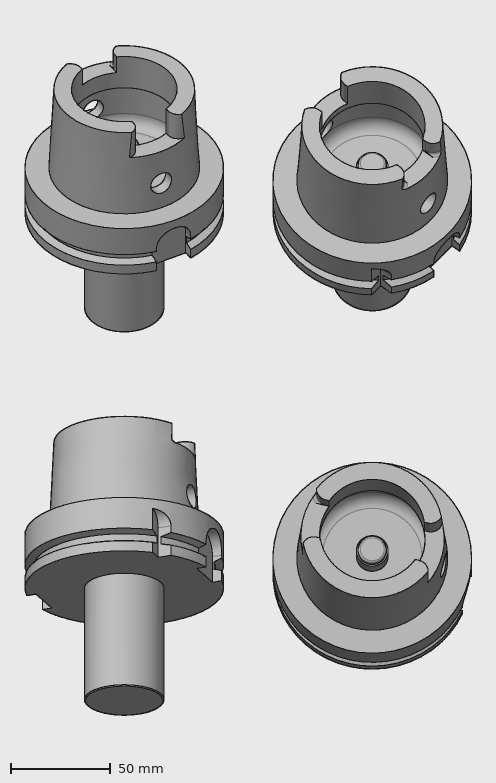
import cadquery as cq
import math

TOTAL_HEIGHT = 139.9
TAPER_LENGTH = 50.0
FLANGE_THICKNESS = 29.0
TAPER_BASE_Z = TOTAL_HEIGHT - TAPER_LENGTH
FLANGE_BOTTOM_Z = TAPER_BASE_Z - FLANGE_THICKNESS

SHANK_RADIUS = 40.0 / 2
SHANK_CHAMFER = 0.5
FLANGE_RADIUS = 99.9 / 2
TAPER_BASE_RADIUS = 37.9
TAPER_RATIO = 1 / 20
TAPER_TOP_RADIUS = TAPER_BASE_RADIUS - TAPER_LENGTH * TAPER_RATIO

GROOVE_RADIUS = 45.9
GROOVE_FLOOR_WIDTH = 3.9
GROOVE_SIDE_HEIGHT = 1.4
GROOVE_BOTTOM_Z = FLANGE_BOTTOM_Z + 5.6

BORE_RADIUS = 53.0 / 2
BORE_DEPTH = 20.0
CHAMBER_RADIUS = 63.1 / 2
CHAMBER_FLOOR_Z = 92.9
CHAMBER_FLOOR_RADIUS = 50.0 / 2
CHAMBER_FILLET = CHAMBER_RADIUS - CHAMBER_FLOOR_RADIUS

POST_RADIUS = 16.0 / 2
POST_TOP_Z = 105.2
POST_TIP_RADIUS = 7.1
POST_TIP_HEIGHT = 3.0
POST_TIP_FILLET = POST_TIP_RADIUS - 12.0 / 2

ACCESS_HOLE_RADIUS = 12.0 / 2
ACCESS_HOLE_Z = 104.9

SLOT_WIDTH = 20.0
LEFT_SLOT_DEPTH = 10.1
RIGHT_SLOT_DEPTH = 15.5
LUG_CORNER_RADIUS = 6.0
LUG_FACE_X = 32.5
LUG_WRAP_ANGLE = 50
LEFT_SLOT_FILLET = 1.7
KEYWAY_FLOOR_X = 43.9
KEYWAY_TOP_Z = TAPER_BASE_Z - 5.0

NOTCH_FLOOR_X = 31.9
NOTCH_WALL_Y = 31.3
NOTCH_RADIUS = 8.0

CLEARANCE = 7.0


def outer_body():
    groove_top = GROOVE_BOTTOM_Z + 2 * GROOVE_SIDE_HEIGHT + GROOVE_FLOOR_WIDTH
    return (
        cq.Workplane("XZ")
        .moveTo(0, 0)
        .lineTo(SHANK_RADIUS - SHANK_CHAMFER, 0)
        .lineTo(SHANK_RADIUS, SHANK_CHAMFER)
        .lineTo(SHANK_RADIUS, FLANGE_BOTTOM_Z)
        .lineTo(FLANGE_RADIUS, FLANGE_BOTTOM_Z)
        .lineTo(FLANGE_RADIUS, GROOVE_BOTTOM_Z)
        .lineTo(GROOVE_RADIUS, GROOVE_BOTTOM_Z + GROOVE_SIDE_HEIGHT)
        .lineTo(GROOVE_RADIUS, groove_top - GROOVE_SIDE_HEIGHT)
        .lineTo(FLANGE_RADIUS, groove_top)
        .lineTo(FLANGE_RADIUS, TAPER_BASE_Z)
        .lineTo(TAPER_BASE_RADIUS, TAPER_BASE_Z)
        .lineTo(TAPER_TOP_RADIUS, TOTAL_HEIGHT)
        .lineTo(0, TOTAL_HEIGHT)
        .close()
        .revolve(360, (0, 0), (0, 1))
    )


def interior():
    """Bore and wider, round-cornered chamber as one cutting solid."""
    bore_end = TOTAL_HEIGHT - BORE_DEPTH
    return (
        cq.Workplane("XZ")
        .moveTo(0, CHAMBER_FLOOR_Z)
        .lineTo(CHAMBER_FLOOR_RADIUS, CHAMBER_FLOOR_Z)
        .radiusArc((CHAMBER_RADIUS, CHAMBER_FLOOR_Z + CHAMBER_FILLET), -CHAMBER_FILLET)
        .lineTo(CHAMBER_RADIUS, bore_end)
        .lineTo(BORE_RADIUS, bore_end)
        .lineTo(BORE_RADIUS, TOTAL_HEIGHT)
        .lineTo(0, TOTAL_HEIGHT)
        .close()
        .revolve(360, (0, 0), (0, 1))
    )


def coolant_post():
    shoulder_z = POST_TOP_Z - POST_TIP_HEIGHT
    base_z = CHAMBER_FLOOR_Z - CLEARANCE
    base = cq.Workplane("XY").workplane(offset=base_z).circle(POST_RADIUS).extrude(shoulder_z - base_z)
    tip = (
        cq.Workplane("XY")
        .workplane(offset=shoulder_z)
        .circle(POST_TIP_RADIUS)
        .extrude(POST_TIP_HEIGHT)
        .faces(">Z")
        .edges()
        .fillet(POST_TIP_FILLET)
    )
    return base.union(tip)


def access_holes():
    return (
        cq.Workplane("YZ")
        .center(0, ACCESS_HOLE_Z)
        .circle(ACCESS_HOLE_RADIUS)
        .extrude(TAPER_BASE_RADIUS + CLEARANCE, both=True)
    )


def drive_slot(depth, floor_fillet=0):
    """Rim slot on the +X side, flaring outward around the rounded lug corners."""
    floor_z = TOTAL_HEIGHT - depth
    inner_x = BORE_RADIUS - CLEARANCE
    outer_x = TAPER_BASE_RADIUS + CLEARANCE
    arc_start_x = LUG_FACE_X - LUG_CORNER_RADIUS
    half_width = SLOT_WIDTH / 2
    wrap = math.radians(LUG_WRAP_ANGLE)
    arc_mid_y = half_width + LUG_CORNER_RADIUS
    arc_end_x = arc_start_x + LUG_CORNER_RADIUS * math.cos(wrap)
    flare_y = arc_mid_y + LUG_CORNER_RADIUS * math.sin(wrap)
    height = depth + CLEARANCE
    plane = cq.Workplane("XY").workplane(offset=floor_z)
    flare = (
        plane.moveTo(inner_x, -half_width)
        .lineTo(arc_start_x, -half_width)
        .threePointArc((LUG_FACE_X, -arc_mid_y), (arc_end_x, -flare_y))
        .lineTo(outer_x, -flare_y)
        .lineTo(outer_x, flare_y)
        .lineTo(arc_end_x, flare_y)
        .threePointArc((LUG_FACE_X, arc_mid_y), (arc_start_x, half_width))
        .lineTo(inner_x, half_width)
        .close()
        .extrude(height)
    )
    if floor_fillet:
        flare = flare.faces("<Z").edges().fillet(floor_fillet)
    channel = plane.rect(outer_x - inner_x, SLOT_WIDTH).extrude(height)
    return flare.union(channel.translate(((inner_x + outer_x) / 2, 0, 0)))


def round_top_cutter(radius, inner_x, center_y):
    """Round-topped slot open at the flange bottom, reaching from inner_x out past +X."""
    arc_z = KEYWAY_TOP_Z - radius
    return (
        cq.Workplane("YZ", origin=(inner_x, 0, 0))
        .moveTo(center_y - radius, FLANGE_BOTTOM_Z)
        .lineTo(center_y - radius, arc_z)
        .threePointArc((center_y, KEYWAY_TOP_Z), (center_y + radius, arc_z))
        .lineTo(center_y + radius, FLANGE_BOTTOM_Z)
        .close()
        .extrude(FLANGE_RADIUS + CLEARANCE - inner_x)
    )


def opposite(solid):
    return solid.mirror("YZ")


keyway = round_top_cutter(SLOT_WIDTH / 2, KEYWAY_FLOOR_X, 0)
notch = round_top_cutter(NOTCH_RADIUS, NOTCH_FLOOR_X, NOTCH_WALL_Y + NOTCH_RADIUS)

result = (
    outer_body()
    .cut(interior())
    .cut(access_holes())
    .union(coolant_post())
    .cut(drive_slot(RIGHT_SLOT_DEPTH))
    .cut(opposite(drive_slot(LEFT_SLOT_DEPTH, LEFT_SLOT_FILLET)))
    .cut(keyway)
    .cut(opposite(keyway))
    .cut(opposite(notch))
)